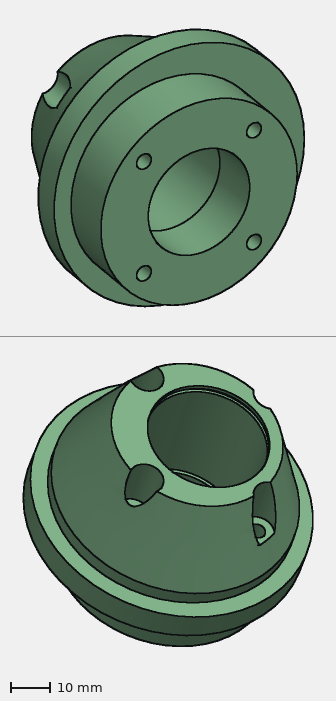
import cadquery as cq
import math

cone_length = 24.0
collar_length = 4.0
flange_length = 8.0
spigot_length = 15.0

cone_small_diameter = 45.0
collar_diameter = 65.0
flange_diameter = 74.0

offset_y = -3.0
spigot_diameter = 58.0
bore_diameter = 32.0
shoulder_diameter = 30.0

groove_diameter = 33.7
groove_start = 1.2
groove_width = 1.4

bolt_circle_diameter = 46.0
bolt_count = 4
first_bolt_angle = 45.0
bolt_hole_diameter = 4.3
counterbore_diameter = 9.0
counterbore_depth = 15.0

collar_start = cone_length
flange_start = collar_start + collar_length
spigot_start = flange_start + flange_length
total_length = spigot_start + spigot_length


def cylinder_x(diameter, start, length, y=0.0, z=0.0):
    """Cylinder running in +X from the given start, on an axis at (y, z)."""
    return cq.Workplane("YZ", origin=(start, y, z)).circle(diameter / 2).extrude(length)


def make_body():
    """Cone, collar and flange revolved about the X axis."""
    return (
        cq.Workplane("XY")
        .moveTo(0, 0)
        .lineTo(0, cone_small_diameter / 2)
        .lineTo(collar_start, collar_diameter / 2)
        .lineTo(flange_start, collar_diameter / 2)
        .lineTo(flange_start, flange_diameter / 2)
        .lineTo(spigot_start, flange_diameter / 2)
        .lineTo(spigot_start, 0)
        .close()
        .revolve(360, (0, 0, 0), (1, 0, 0))
    )


def make_spigot():
    """Eccentric spigot behind the flange."""
    return cylinder_x(spigot_diameter, spigot_start, spigot_length, offset_y)


def make_bore():
    """Stepped through bore: wide up to the spigot, narrower through it, with a ring groove."""
    wide_bore = cylinder_x(bore_diameter, 0, spigot_start, offset_y)
    narrow_bore = cylinder_x(shoulder_diameter, spigot_start, spigot_length, offset_y)
    groove = cylinder_x(groove_diameter, groove_start, groove_width, offset_y)
    return wide_bore.union(narrow_bore).union(groove)


def make_bolt_hole(angle):
    """Through hole and counterbore at one angle of the bolt circle."""
    bolt_radius = bolt_circle_diameter / 2
    y = offset_y + bolt_radius * math.cos(math.radians(angle))
    z = bolt_radius * math.sin(math.radians(angle))
    hole = cylinder_x(bolt_hole_diameter, 0, total_length, y, z)
    counterbore = cylinder_x(counterbore_diameter, 0, counterbore_depth, y, z)
    return hole.union(counterbore)


result = make_body().union(make_spigot()).cut(make_bore())
for index in range(bolt_count):
    result = result.cut(make_bolt_hole(first_bolt_angle + index * 360 / bolt_count))